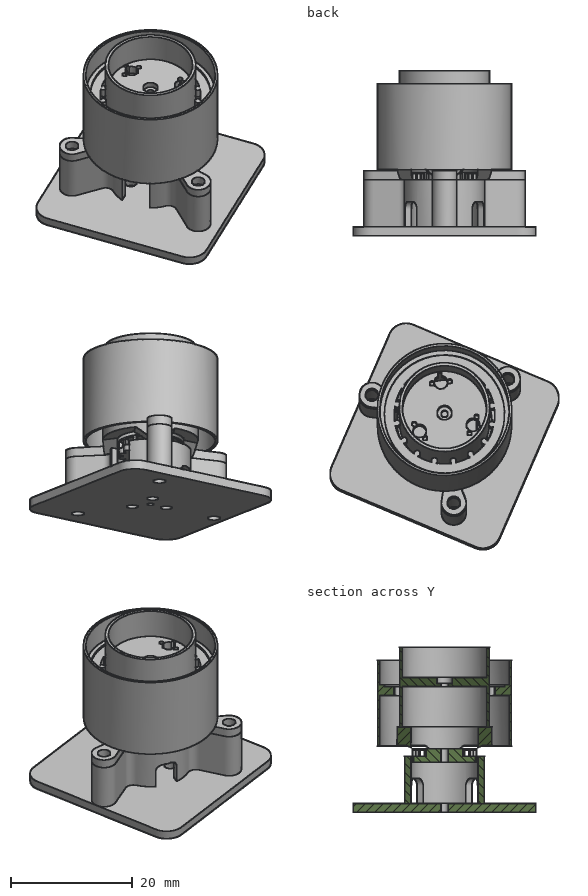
import cadquery as cq
import math

LOBE_COUNT = 3
LOBE_STEP = 360 / LOBE_COUNT
LOBE_ANGLES = [90 + i * LOBE_STEP for i in range(LOBE_COUNT)]
GAP_ANGLES = [angle + LOBE_STEP / 2 for angle in LOBE_ANGLES]
CENTRE_HOLE_DIAMETER = 1.1

PANEL_SIDE = 30.0
PANEL_THICKNESS = 1.5
PANEL_CORNER_RADIUS = 3.0
WIRE_HOLE_DIAMETER = 1.85
WIRE_HOLE_OFFSET = 3.25

BOSS_OFFSET = 12.95
BOSS_RADIUS = PANEL_SIDE / 2 - BOSS_OFFSET
SCREW_HOLE_DIAMETER = 2.1
LOBE_TAPER = 15.0

HOUSING_TOP = 9.2
HOUSING_RADIUS = 6.6
HOUSING_BORE_RADIUS = 5.5
LOBE_FILLET = 1.38
FRONT_ANGLE = 270.0
FRONT_OPENING_WIDTH = 4.92
WINDOW_WIDTH = 3.8
WINDOW_HEIGHT = 4.1
WINDOW_FILLET = 1.2

PAD_THICKNESS = 1.5
PAD_TOP = HOUSING_TOP + PAD_THICKNESS
STATOR_RADIUS = 7.8
STATOR_RING_BOTTOM = 11.0
STATOR_RING_TOP = 14.0
FLARE_HALF_WIDTH = 1.08
FLARE_SLOPE = 1.2

WHEEL_COUNT = 15
WHEEL_BOTTOM = 8.22
WHEEL_TOP = 10.47
WHEEL_RADIUS = 5.28
WHEEL_LID_THICKNESS = 0.27
WHEEL_LOBE_DIAMETER = 1.6
WHEEL_LOBE_OFFSET = WHEEL_RADIUS - WHEEL_LOBE_DIAMETER / 2
WHEEL_POST_WIDTH = 0.55
WHEEL_POST_DEPTH = 0.55
WHEEL_HUB_DIAMETER = 6.0

CUP_BOTTOM = 10.85
CUP_TOP = 24.95
CUP_RADIUS = 11.0
CUP_BORE_RADIUS = 21.2 / 2
CUP_LEDGE_LEVEL = 20.95
CUP_LEDGE_RADIUS = 19.7 / 2
CUP_RECESS_DEPTH = 0.3
CUP_FLOOR_THICKNESS = 1.5
CUP_FLOOR_LEVEL = CUP_LEDGE_LEVEL - CUP_RECESS_DEPTH
TONGUE_COUNT = 16
TONGUE_NECK_WIDTH = 0.75
TONGUE_TIP_DIAMETER = 1.0
POCKET_RADIUS = 8.25

KNOB_TOP = 27.1
KNOB_RADIUS = 7.4
KNOB_BORE_RADIUS = 6.9
KNOB_FLOOR_LEVEL = 22.15
KNOB_FLOOR_THICKNESS = 1.5
COUNTERBORE_DIAMETER = 2.4
COUNTERBORE_DEPTH = 1.0
LAMP_HOLE_DIAMETER = 2.2
LAMP_OFFSET = 5.1
LAMP_SIDE_HOLE_DIAMETER = 0.78
LAMP_SIDE_HOLE_OFFSET = 1.47
LAMP_SIDE_HOLE_DEPTH = 1.0
LAMP_SLOT_WIDTH = 0.6


def cylinder(radius, bottom, top):
    """Upright cylinder on the Z axis."""
    return cq.Workplane("XY").workplane(offset=bottom).circle(radius).extrude(top - bottom)


def tube(outer_radius, inner_radius, bottom, top):
    """Upright tube on the Z axis."""
    return cylinder(outer_radius, bottom, top).cut(cylinder(inner_radius, bottom, top))


def around_axis(shape, angle):
    """Turn a shape modelled along +X to the given angle about Z."""
    return shape.rotate((0, 0, 0), (0, 0, 1), angle)


def centre_hole(top):
    """Cutter for the hole on the main axis, from the bottom up to a level."""
    return cylinder(CENTRE_HOLE_DIAMETER / 2, 0, top)


def screw_holes(bottom, top):
    """Cutter for the screw holes through all the bosses."""
    return (
        cq.Workplane("XY")
        .workplane(offset=bottom)
        .polarArray(BOSS_OFFSET, LOBE_ANGLES[0], 360, LOBE_COUNT)
        .circle(SCREW_HOLE_DIAMETER / 2)
        .extrude(top - bottom)
    )


def lobe(bottom, top):
    """Lobe along +X: a round boss whose straight sides close in towards the axis."""
    taper = math.radians(LOBE_TAPER)
    tangent_y = BOSS_RADIUS * math.cos(taper)
    tangent_x = BOSS_OFFSET - BOSS_RADIUS * math.sin(taper)
    root_x = HOUSING_BORE_RADIUS
    root_y = tangent_y - (tangent_x - root_x) * math.tan(taper)
    return (
        cq.Workplane("XY")
        .workplane(offset=bottom)
        .moveTo(root_x, -root_y)
        .lineTo(tangent_x, -tangent_y)
        .threePointArc((BOSS_OFFSET + BOSS_RADIUS, 0), (tangent_x, tangent_y))
        .lineTo(root_x, root_y)
        .close()
        .extrude(top - bottom)
    )


def make_panel():
    panel = (
        cq.Workplane("XY")
        .rect(PANEL_SIDE, PANEL_SIDE)
        .extrude(PANEL_THICKNESS)
        .edges("|Z")
        .fillet(PANEL_CORNER_RADIUS)
    )
    wire_holes = (
        cq.Workplane("XY")
        .polarArray(WIRE_HOLE_OFFSET, LOBE_ANGLES[0], 360, LOBE_COUNT)
        .circle(WIRE_HOLE_DIAMETER / 2)
        .extrude(PANEL_THICKNESS)
    )
    panel = panel.cut(wire_holes).cut(screw_holes(0, PANEL_THICKNESS))
    return panel.cut(centre_hole(PANEL_THICKNESS))


def wire_window():
    """Cutter along +X for a window with a rounded top, open at the panel."""
    return (
        cq.Workplane("XY")
        .workplane(offset=PANEL_THICKNESS)
        .center(HOUSING_RADIUS / 2, 0)
        .rect(HOUSING_RADIUS, WINDOW_WIDTH)
        .extrude(WINDOW_HEIGHT)
        .edges("|X and >Z")
        .fillet(WINDOW_FILLET)
    )


def front_opening():
    """Cutter along +X for the full-height opening in the wall."""
    return (
        cq.Workplane("XY")
        .workplane(offset=PANEL_THICKNESS)
        .center(HOUSING_RADIUS / 2, 0)
        .rect(HOUSING_RADIUS, FRONT_OPENING_WIDTH)
        .extrude(HOUSING_TOP - PANEL_THICKNESS)
    )


def make_housing():
    housing = cylinder(HOUSING_RADIUS, PANEL_THICKNESS, HOUSING_TOP)
    for angle in LOBE_ANGLES:
        housing = housing.union(around_axis(lobe(PANEL_THICKNESS, HOUSING_TOP), angle))
    corner_box = cq.selectors.BoxSelector(
        (-HOUSING_RADIUS, -HOUSING_RADIUS, PANEL_THICKNESS),
        (HOUSING_RADIUS, HOUSING_RADIUS, HOUSING_TOP),
    )
    housing = housing.edges("|Z").edges(corner_box).fillet(LOBE_FILLET)
    housing = housing.cut(cylinder(HOUSING_BORE_RADIUS, PANEL_THICKNESS, HOUSING_TOP))
    for angle in GAP_ANGLES:
        faces_front = math.isclose(angle % 360, FRONT_ANGLE)
        opening = front_opening() if faces_front else wire_window()
        housing = housing.cut(around_axis(opening, angle))
    return housing.cut(screw_holes(PANEL_THICKNESS, HOUSING_TOP))


def flare():
    """Leg along +X that widens upwards from a lobe to carry the ring."""
    height = STATOR_RING_BOTTOM - HOUSING_TOP
    top_half_width = FLARE_HALF_WIDTH + FLARE_SLOPE * height
    return (
        cq.Workplane("YZ")
        .polyline([
            (-FLARE_HALF_WIDTH, HOUSING_TOP),
            (FLARE_HALF_WIDTH, HOUSING_TOP),
            (top_half_width, STATOR_RING_BOTTOM),
            (-top_half_width, STATOR_RING_BOTTOM),
        ])
        .close()
        .extrude(STATOR_RADIUS)
        .intersect(tube(STATOR_RADIUS, HOUSING_BORE_RADIUS, HOUSING_TOP, STATOR_RING_BOTTOM))
    )


def make_stator():
    stator = tube(STATOR_RADIUS, HOUSING_BORE_RADIUS, STATOR_RING_BOTTOM, STATOR_RING_TOP)
    inside_ring = cylinder(STATOR_RADIUS, HOUSING_TOP, PAD_TOP)
    for angle in LOBE_ANGLES:
        pad = lobe(HOUSING_TOP, PAD_TOP).cut(inside_ring)
        stator = stator.union(around_axis(flare(), angle))
        stator = stator.union(around_axis(pad, angle))
    return stator.cut(screw_holes(HOUSING_TOP, PAD_TOP))


def make_wheel():
    lid_bottom = WHEEL_TOP - WHEEL_LID_THICKNESS
    wheel = cylinder(WHEEL_LOBE_OFFSET, WHEEL_BOTTOM, HOUSING_TOP)
    wheel = wheel.union(cylinder(WHEEL_HUB_DIAMETER / 2, HOUSING_TOP, lid_bottom))
    wheel = wheel.union(cylinder(WHEEL_RADIUS, lid_bottom, WHEEL_TOP))
    rim_lobe = (
        cq.Workplane("XY")
        .workplane(offset=WHEEL_BOTTOM)
        .center(WHEEL_LOBE_OFFSET, 0)
        .circle(WHEEL_LOBE_DIAMETER / 2)
        .extrude(HOUSING_TOP - WHEEL_BOTTOM)
    )
    post = (
        cq.Workplane("XY")
        .workplane(offset=HOUSING_TOP)
        .center(WHEEL_RADIUS - WHEEL_POST_DEPTH / 2, 0)
        .rect(WHEEL_POST_DEPTH, WHEEL_POST_WIDTH)
        .extrude(lid_bottom - HOUSING_TOP)
        .intersect(cylinder(WHEEL_RADIUS, HOUSING_TOP, lid_bottom))
    )
    for i in range(WHEEL_COUNT):
        angle = FRONT_ANGLE + i * 360 / WHEEL_COUNT
        wheel = wheel.union(around_axis(rim_lobe, angle))
        wheel = wheel.union(around_axis(post, angle))
    return wheel.cut(centre_hole(WHEEL_TOP))


def tongue(bottom, top):
    """Tongue along +X: a narrow neck with a round tip that reaches the knob."""
    tip_offset = KNOB_RADIUS + TONGUE_TIP_DIAMETER / 2
    neck_length = POCKET_RADIUS - tip_offset + TONGUE_NECK_WIDTH
    plane = cq.Workplane("XY").workplane(offset=bottom)
    neck = (
        plane.center(tip_offset + neck_length / 2, 0)
        .rect(neck_length, TONGUE_NECK_WIDTH)
        .extrude(top - bottom)
    )
    tip = plane.center(tip_offset, 0).circle(TONGUE_TIP_DIAMETER / 2).extrude(top - bottom)
    return neck.union(tip)


def floor_pockets(bottom, top):
    """Cutter for the ring of pockets in the cup floor, parted by narrow tongues."""
    pockets = tube(POCKET_RADIUS, KNOB_RADIUS, bottom, top)
    for i in range(TONGUE_COUNT):
        pockets = pockets.cut(around_axis(tongue(bottom, top), (i + 0.5) * 360 / TONGUE_COUNT))
    return pockets


def make_cup():
    floor_bottom = CUP_FLOOR_LEVEL - CUP_FLOOR_THICKNESS
    cup = cylinder(CUP_RADIUS, CUP_BOTTOM, CUP_TOP)
    cup = cup.cut(cylinder(CUP_BORE_RADIUS, CUP_LEDGE_LEVEL, CUP_TOP))
    cup = cup.cut(cylinder(CUP_LEDGE_RADIUS, CUP_FLOOR_LEVEL, CUP_LEDGE_LEVEL))
    cup = cup.cut(cylinder(CUP_BORE_RADIUS, CUP_BOTTOM, floor_bottom))
    cup = cup.cut(cylinder(KNOB_RADIUS, floor_bottom, CUP_FLOOR_LEVEL))
    return cup.cut(floor_pockets(floor_bottom, CUP_FLOOR_LEVEL))


def lamp_openings(bottom):
    """Cutter along +X for a lamp hole, its two side holes and its radial slot."""
    floor = cq.Workplane("XY").workplane(offset=bottom)
    lamp_hole = floor.center(LAMP_OFFSET, 0).circle(LAMP_HOLE_DIAMETER / 2).extrude(KNOB_FLOOR_THICKNESS)
    side_holes = (
        floor.workplane(offset=KNOB_FLOOR_THICKNESS)
        .pushPoints([(LAMP_OFFSET, -LAMP_SIDE_HOLE_OFFSET), (LAMP_OFFSET, LAMP_SIDE_HOLE_OFFSET)])
        .circle(LAMP_SIDE_HOLE_DIAMETER / 2)
        .extrude(-LAMP_SIDE_HOLE_DEPTH)
    )
    slot_length = KNOB_BORE_RADIUS - LAMP_OFFSET
    slot = (
        floor.center(LAMP_OFFSET + slot_length / 2, 0)
        .rect(slot_length, LAMP_SLOT_WIDTH)
        .extrude(KNOB_FLOOR_THICKNESS)
    )
    return lamp_hole.union(side_holes).union(slot)


def make_knob():
    floor_bottom = KNOB_FLOOR_LEVEL - KNOB_FLOOR_THICKNESS
    knob = tube(KNOB_RADIUS, KNOB_BORE_RADIUS, STATOR_RING_TOP, KNOB_TOP)
    knob = knob.union(cylinder(KNOB_RADIUS, floor_bottom, KNOB_FLOOR_LEVEL))
    for angle in GAP_ANGLES:
        knob = knob.cut(around_axis(lamp_openings(floor_bottom), angle))
    knob = knob.cut(
        cylinder(COUNTERBORE_DIAMETER / 2, KNOB_FLOOR_LEVEL - COUNTERBORE_DEPTH, KNOB_FLOOR_LEVEL)
    )
    return knob.cut(centre_hole(KNOB_TOP))


panel = make_panel()
housing = make_housing()
stator = make_stator()
wheel = make_wheel()
cup = make_cup()
knob = make_knob()

result = cq.Compound.makeCompound(
    [panel.val(), housing.val(), stator.val(), wheel.val(), cup.val(), knob.val()]
)